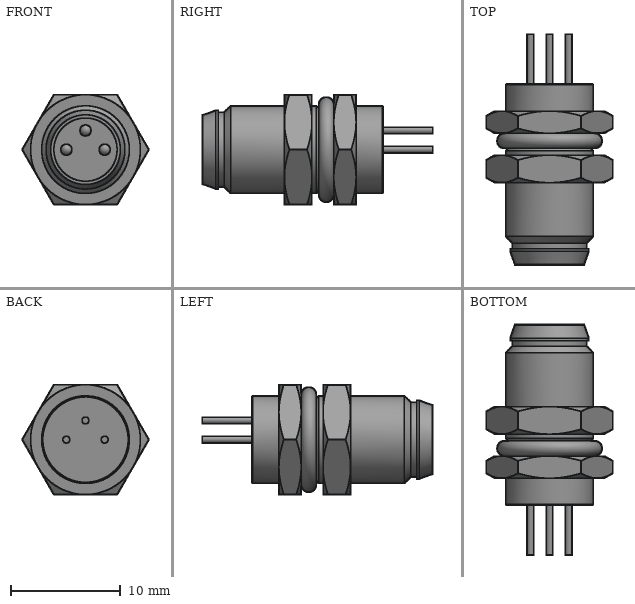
import cadquery as cq
import math

TOTAL_LENGTH = 21.0
LIP_TAPER_START = 0.08
LIP_TAPER_END = 1.25
LIP_BACK = 1.5
SHOULDER_START = 2.0
SHOULDER_END = 2.6
FRONT_NUT_START = 7.5
FRONT_NUT_END = 10.0
SEAL_SEAT_START = 10.6
REAR_NUT_START = 12.0
REAR_NUT_END = 14.0
BODY_BACK = 16.48

BODY_RADIUS = 4.0
RIM_RADIUS = 3.17
LIP_RADIUS = 3.6
NECK_RADIUS = 3.4
SEAT_CHAMFER = 0.2
BACK_CHAMFER = 0.1
BORE_RADIUS = 2.88
BORE_DEPTH = FRONT_NUT_START

NUT_ACROSS_FLATS = 10.0
NUT_CORNER_RADIUS = 5.75
NUT_FACE_RADIUS = NUT_ACROSS_FLATS / 2
NUT_CHAMFER_ANGLE = 30.0

RING_OUTER_RADIUS = 4.79

CONTACT_OFFSET = 1.75
CONTACT_POSITIONS = [(-CONTACT_OFFSET, 0), (0, CONTACT_OFFSET), (CONTACT_OFFSET, 0)]
PIN_TIP = 0.2
PIN_RADIUS = 0.5
WIRE_RADIUS = 0.32
PIN_BACK = BODY_BACK - PIN_RADIUS


def revolve_about_y(profile):
    """Turn a closed (radius, y) profile fully around the Y axis."""
    return profile.close().revolve(360, (0, 0, 0), (0, 1, 0))


def make_body():
    seat_radius = BODY_RADIUS - SEAT_CHAMFER
    profile = cq.Workplane("XY").polyline([
        (0, BORE_DEPTH),
        (BORE_RADIUS, BORE_DEPTH),
        (BORE_RADIUS, 0),
        (RIM_RADIUS, 0),
        (RIM_RADIUS, LIP_TAPER_START),
        (LIP_RADIUS, LIP_TAPER_END),
        (LIP_RADIUS, LIP_BACK),
        (NECK_RADIUS, LIP_BACK),
        (NECK_RADIUS, SHOULDER_START),
        (BODY_RADIUS, SHOULDER_END),
        (BODY_RADIUS, SEAL_SEAT_START - SEAT_CHAMFER),
        (seat_radius, SEAL_SEAT_START),
        (seat_radius, REAR_NUT_START),
        (BODY_RADIUS, REAR_NUT_START),
        (BODY_RADIUS, BODY_BACK - BACK_CHAMFER),
        (BODY_RADIUS - BACK_CHAMFER, BODY_BACK),
        (0, BODY_BACK),
    ])
    return revolve_about_y(profile)


def make_nut(start, end):
    """Hexagon with corners on the X axis, trimmed by a cylinder with conical ends."""
    hexagon = (
        cq.Workplane("XZ", origin=(0, start, 0))
        .polygon(6, NUT_ACROSS_FLATS / math.cos(math.pi / 6))
        .extrude(start - end)
    )
    chamfer = (NUT_CORNER_RADIUS - NUT_FACE_RADIUS) * math.tan(math.radians(NUT_CHAMFER_ANGLE))
    envelope = revolve_about_y(cq.Workplane("XY").polyline([
        (BORE_RADIUS, start),
        (NUT_FACE_RADIUS, start),
        (NUT_CORNER_RADIUS, start + chamfer),
        (NUT_CORNER_RADIUS, end - chamfer),
        (NUT_FACE_RADIUS, end),
        (BORE_RADIUS, end),
    ]))
    return hexagon.intersect(envelope)


def make_ring():
    section_radius = (REAR_NUT_START - SEAL_SEAT_START) / 2
    center_radius = RING_OUTER_RADIUS - section_radius
    center_y = (SEAL_SEAT_START + REAR_NUT_START) / 2
    return (
        cq.Workplane("XY")
        .center(center_radius, center_y)
        .circle(section_radius)
        .revolve(360, (-center_radius, 0, 0), (-center_radius, 1, 0))
    )


def make_contact(x, z):
    nose_center = PIN_TIP + PIN_RADIUS
    profile = (
        cq.Workplane("XY")
        .moveTo(0, PIN_TIP)
        .radiusArc((PIN_RADIUS, nose_center), -PIN_RADIUS)
        .lineTo(PIN_RADIUS, PIN_BACK)
        .lineTo(WIRE_RADIUS, PIN_BACK)
        .lineTo(WIRE_RADIUS, TOTAL_LENGTH)
        .lineTo(0, TOTAL_LENGTH)
    )
    return revolve_about_y(profile).translate((x, 0, z))


result = make_body()
result = result.union(make_nut(FRONT_NUT_START, FRONT_NUT_END))
result = result.union(make_nut(REAR_NUT_START, REAR_NUT_END))
result = result.union(make_ring())
for contact_x, contact_z in CONTACT_POSITIONS:
    result = result.union(make_contact(contact_x, contact_z))